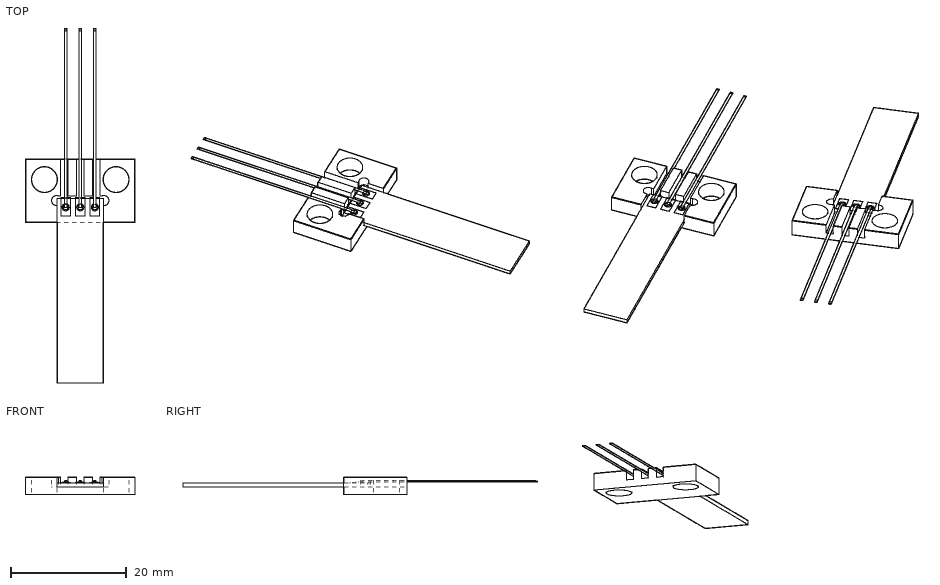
import cadquery as cq

TOTAL_LENGTH = 61.4

HOLDER_WIDTH = 19.0
HOLDER_DEPTH = 11.0
HOLDER_HEIGHT = 3.0
EDGE_CHAMFER = 0.09
MOUNT_HOLE_DIAMETER = 4.4
MOUNT_HOLE_SPACING = 12.4
MOUNT_HOLE_Y = 7.45

RECESS_FLOOR_Z = 1.3
RECESS_DEPTH = 4.6
RELIEF_RADIUS = 0.85
RELIEF_SPACING = 8.2
RELIEF_Y = 3.8
WIRE_SLOT_SPAN = 6.8

RIB_WIDTH = 1.55
RIB_SPACING = 2.75

BOARD_WIDTH = 8.0
BOARD_THICKNESS = 0.75
BOARD_BACK_Y = 4.2
BOARD_FRONT_Y = -27.8
BOARD_TOP_Z = RECESS_FLOOR_Z + BOARD_THICKNESS

PAD_WIDTH = 1.6
PAD_BACK_Y = 4.3
PAD_FRONT_Y = 1.1
PAD_THICKNESS = 0.03
PAD_TOP_Z = BOARD_TOP_Z + PAD_THICKNESS

WIRE_COUNT = 3
WIRE_PITCH = 2.5
WIRE_WIDTH = 0.5
WIRE_HEIGHT = 0.25
WIRE_Z = 2.3
WIRE_TIP_LENGTH = 0.4
WIRE_TIP_DROP = 0.1
WIRE_BACK_Y = BOARD_FRONT_Y + TOTAL_LENGTH
WIRE_BEND_Y = 3.3
WIRE_END_Y = 2.6
WIRE_END_Z = 2.1

SOLDER_BASE_RADIUS = 0.6
SOLDER_TOP_RADIUS = 0.4
SOLDER_HEIGHT = 0.1
SOLDER_Y = 2.65


def box(width, y_front, y_back, z_bottom, z_top, x_center=0.0):
    """Axis-aligned block centred on x_center between the given Y and Z limits."""
    return (
        cq.Workplane("XY")
        .box(width, y_back - y_front, z_top - z_bottom, centered=(True, False, False))
        .translate((x_center, y_front, z_bottom))
    )


def recess_cutter():
    """Board recess, its corner reliefs and the wire slot, less the two ribs."""
    board_bay = box(BOARD_WIDTH, 0, RECESS_DEPTH, RECESS_FLOOR_Z, HOLDER_HEIGHT)
    wire_slot = box(WIRE_SLOT_SPAN, 0, HOLDER_DEPTH, RECESS_FLOOR_Z, HOLDER_HEIGHT)
    reliefs = (
        cq.Workplane("XY", origin=(0, RELIEF_Y, RECESS_FLOOR_Z))
        .pushPoints([(side * RELIEF_SPACING / 2, 0) for side in (-1, 1)])
        .circle(RELIEF_RADIUS)
        .extrude(HOLDER_HEIGHT - RECESS_FLOOR_Z)
    )
    cutter = board_bay.union(wire_slot).union(reliefs)
    for side in (-1, 1):
        rib = box(
            RIB_WIDTH, RECESS_DEPTH, HOLDER_DEPTH, RECESS_FLOOR_Z, HOLDER_HEIGHT, side * RIB_SPACING / 2
        )
        cutter = cutter.cut(rib)
    return cutter


def make_holder():
    """Mounting block with two through holes and the recess for the sensor."""
    block = box(HOLDER_WIDTH, 0, HOLDER_DEPTH, 0, HOLDER_HEIGHT)
    block = block.faces(">Z").edges().chamfer(EDGE_CHAMFER)
    holes = (
        cq.Workplane("XY")
        .pushPoints([(side * MOUNT_HOLE_SPACING / 2, MOUNT_HOLE_Y) for side in (-1, 1)])
        .circle(MOUNT_HOLE_DIAMETER / 2)
        .extrude(HOLDER_HEIGHT)
    )
    return block.cut(holes).cut(recess_cutter())


def wire_section(x, y):
    """Oval cross-section of a wire at the given place along its straight part."""
    section_plane = cq.Workplane("XZ", origin=(x, y, WIRE_Z))
    return section_plane.ellipse(WIRE_WIDTH / 2, WIRE_HEIGHT / 2)


def make_wire(x):
    """Oval wire along Y with a bevelled back tip, whose front end slopes down to its pad."""
    straight = wire_section(x, WIRE_BACK_Y).extrude(WIRE_BACK_Y - WIRE_BEND_Y)
    slope_path = (
        cq.Workplane("YZ", origin=(x, 0, 0))
        .moveTo(WIRE_BEND_Y, WIRE_Z)
        .lineTo(WIRE_END_Y, WIRE_END_Z)
    )
    slope = wire_section(x, WIRE_BEND_Y).sweep(slope_path)

    wire_top_z = WIRE_Z + WIRE_HEIGHT / 2
    tip_cut = (
        cq.Workplane("YZ", origin=(x, 0, 0))
        .moveTo(WIRE_BACK_Y - 2 * WIRE_TIP_LENGTH, wire_top_z + WIRE_TIP_DROP)
        .lineTo(WIRE_BACK_Y, wire_top_z + WIRE_TIP_DROP)
        .lineTo(WIRE_BACK_Y, wire_top_z - WIRE_TIP_DROP)
        .close()
        .extrude(WIRE_WIDTH, both=True)
    )
    return straight.cut(tip_cut).union(slope)


def make_solder(x):
    """Conical mound of solder with a flat top, standing on a pad."""
    return (
        cq.Workplane("XY", origin=(x, SOLDER_Y, PAD_TOP_Z))
        .circle(SOLDER_BASE_RADIUS)
        .workplane(offset=SOLDER_HEIGHT)
        .circle(SOLDER_TOP_RADIUS)
        .loft()
    )


def make_sensor():
    """Board with its pads, solder and wires."""
    sensor = box(BOARD_WIDTH, BOARD_FRONT_Y, BOARD_BACK_Y, RECESS_FLOOR_Z, BOARD_TOP_Z)
    for index in range(WIRE_COUNT):
        x = (index - (WIRE_COUNT - 1) / 2) * WIRE_PITCH
        pad = box(PAD_WIDTH, PAD_FRONT_Y, PAD_BACK_Y, BOARD_TOP_Z, PAD_TOP_Z, x)
        sensor = sensor.union(pad).union(make_wire(x)).union(make_solder(x))
    return sensor


holder = make_holder()
sensor = make_sensor()

result = cq.Compound.makeCompound([holder.solids().val(), sensor.solids().val()])